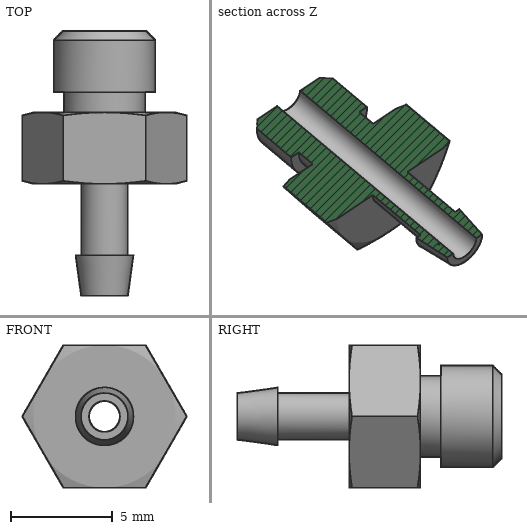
import cadquery as cq
import math


thread_diameter = 5.0
thread_length = 3.0
thread_chamfer = 0.45
neck_diameter = 4.0
neck_length = 1.0

hex_across_flats = 7.0
hex_length = 3.5
hex_chamfer_angle = 15.0

stem_diameter = 2.3
stem_length = 3.5
barb_diameter = 2.85
barb_length = 2.0

bore_diameter = 1.5

thread_start = neck_length
thread_end = thread_start + thread_length
hex_front = -hex_length
barb_start = hex_front - stem_length
barb_tip = barb_start - barb_length


def revolve_about_y(profile):
    """Revolve a closed (radius, y) profile around the Y axis."""
    return cq.Workplane("XY").polyline(profile).close().revolve(360, (0, 0, 0), (0, 1, 0))


def make_hexagon():
    """Hexagon with corners on the X axis and conically chamfered ends."""
    across_corners = hex_across_flats / math.cos(math.radians(30))
    prism = cq.Workplane("XZ").polygon(6, across_corners).extrude(hex_length)
    face_radius = hex_across_flats / 2
    corner_radius = across_corners / 2
    corner_drop = (corner_radius - face_radius) * math.tan(math.radians(hex_chamfer_angle))
    envelope_radius = 2 * corner_radius - face_radius
    envelope_drop = 2 * corner_drop
    envelope = revolve_about_y([
        (0, 0),
        (face_radius, 0),
        (envelope_radius, -envelope_drop),
        (envelope_radius, hex_front + envelope_drop),
        (face_radius, hex_front),
        (0, hex_front),
    ])
    return prism.intersect(envelope)


def make_threaded_end():
    """Undercut neck and plain thread cylinder with a chamfered end."""
    thread_radius = thread_diameter / 2
    neck_radius = neck_diameter / 2
    return revolve_about_y([
        (0, 0),
        (neck_radius, 0),
        (neck_radius, thread_start),
        (thread_radius, thread_start),
        (thread_radius, thread_end - thread_chamfer),
        (thread_radius - thread_chamfer, thread_end),
        (0, thread_end),
    ])


def make_hose_stem():
    """Stem with a barb that tapers back to the stem diameter at its tip."""
    stem_radius = stem_diameter / 2
    return revolve_about_y([
        (0, hex_front),
        (stem_radius, hex_front),
        (stem_radius, barb_start),
        (barb_diameter / 2, barb_start),
        (stem_radius, barb_tip),
        (0, barb_tip),
    ])


def make_bore():
    """Through bore along the whole fitting."""
    return (
        cq.Workplane("XZ", origin=(0, thread_end, 0))
        .circle(bore_diameter / 2)
        .extrude(thread_end - barb_tip)
    )


body = make_hexagon().union(make_threaded_end()).union(make_hose_stem())
result = body.cut(make_bore())